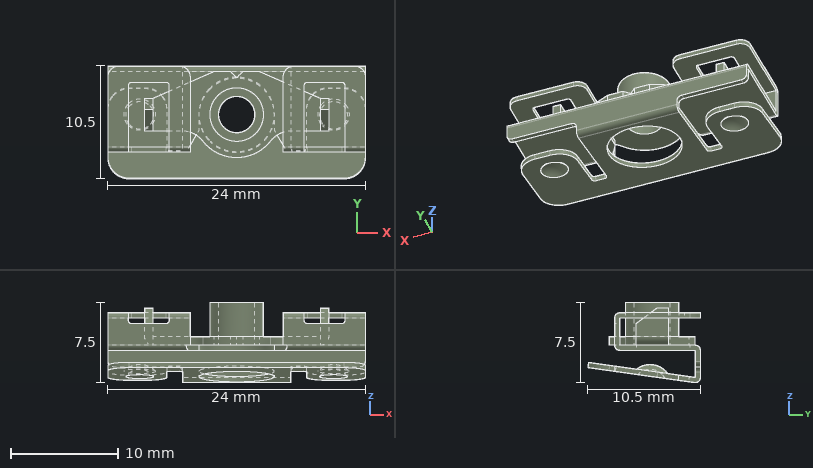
import cadquery as cq
import math


LENGTH = 24.0
SHEET = 0.5
BACK_Y = 4.5
FRONT_WALL_Y = BACK_Y - 8.02
DECK_TOP = 3.5
STRAP_TOP = 6.53
STRAP_WIDTH = 7.68
STRAP_CORNER = 1.0

LUG_CENTRE = 8.18
WINDOW_WIDTH = 3.8
WINDOW_BACK_Y = BACK_Y - 1.5
WINDOW_BOTTOM = 5.52
WINDOW_CORNER = 0.3

OPENING_HALF_WIDTH = 3.5
OPENING_MOUTH = 4.7
OPENING_FLARE_DEPTH = 2.05

WALL_BOTTOM = 1.5
WALL_CORNER = 0.5

LEAF_ANGLE = 8.0
LEAF_LENGTH = 10.03
LEAF_CORNER = 2.0
LEAF_HOLE_RADIUS = OPENING_HALF_WIDTH
TONGUE_HALF_WIDTH = 5.05
WING_INNER_X = 6.5
WING_BACK = 1.54
SLOT_END = 7.45
SLOT_CORNER = 0.3

LEAF_AXIS = (BACK_Y - SHEET) / math.cos(math.radians(LEAF_ANGLE))

DIMPLE_X = 9.02
DIMPLE_RADIUS = 2.05
DIMPLE_WALL = 0.45
DIMPLE_RISE = 0.62

NUT_PLATE = 0.8
BARREL_RADIUS = 2.5
BORE_RADIUS = 1.68
BARREL_TOP = 7.5
NUT_NOSE_RADIUS = 4.0
NUT_NECK_RADIUS = 2.5
NUT_BACK_Y = BACK_Y - SHEET
NUT_BACK_HALF = 2.1
NOTCH_DEPTH = 0.58
LUG_HALF_WIDTH = 1.5
LUG_OUTER_X = LUG_CENTRE + NUT_PLATE / 2
LUG_INNER_X = LUG_CENTRE - NUT_PLATE / 2
LUG_TOP = 6.95
LUG_TOP_DEPTH = 1.05
LUG_SHOULDER = 5.5

SIDES = (-1, 1)


def block(x0, x1, y0, y1, z0, z1):
    """Box between the given limits on each axis."""
    return cq.Workplane("XY").box(x1 - x0, y1 - y0, z1 - z0, centered=False).translate((x0, y0, z0))


def make_folded_strip():
    """Back wall above the leaf, deck, and the two front walls with their straps folded back."""
    inner_back_y = BACK_Y - SHEET
    inner_front_y = FRONT_WALL_Y + SHEET
    strip = (
        cq.Workplane("YZ", origin=(-LENGTH / 2, 0, 0))
        .moveTo(BACK_Y, WALL_BOTTOM)
        .lineTo(BACK_Y, DECK_TOP)
        .lineTo(inner_front_y, DECK_TOP)
        .lineTo(inner_front_y, STRAP_TOP - SHEET)
        .lineTo(BACK_Y, STRAP_TOP - SHEET)
        .lineTo(BACK_Y, STRAP_TOP)
        .lineTo(FRONT_WALL_Y, STRAP_TOP)
        .lineTo(FRONT_WALL_Y, DECK_TOP - SHEET)
        .lineTo(inner_back_y, DECK_TOP - SHEET)
        .lineTo(inner_back_y, WALL_BOTTOM)
        .close()
        .extrude(LENGTH)
    )
    for y, z in ((BACK_Y, DECK_TOP), (FRONT_WALL_Y, DECK_TOP - SHEET), (FRONT_WALL_Y, STRAP_TOP)):
        strip = strip.edges(cq.selectors.NearestToPointSelector((0, y, z))).fillet(SHEET)
    strip = strip.edges("|Y and <Z").fillet(WALL_CORNER)

    gap_half = LENGTH / 2 - STRAP_WIDTH
    strip = strip.cut(block(-gap_half, gap_half, -LENGTH, LENGTH, DECK_TOP, LENGTH))
    for side in SIDES:
        for x in (gap_half, LENGTH / 2):
            corner = (side * x, BACK_Y, STRAP_TOP - SHEET / 2)
            strip = strip.edges(cq.selectors.NearestToPointSelector(corner)).fillet(STRAP_CORNER)
        strip = strip.cut(make_window(side))
    return strip.cut(make_opening())


def make_opening():
    """Cutter for the deck opening: round end around the bore axis, straight sides, flared mouth."""
    flare_y = FRONT_WALL_Y + OPENING_FLARE_DEPTH
    return (
        cq.Workplane("XY", origin=(0, 0, DECK_TOP - SHEET))
        .moveTo(-OPENING_MOUTH, FRONT_WALL_Y)
        .lineTo(-OPENING_HALF_WIDTH, flare_y)
        .lineTo(-OPENING_HALF_WIDTH, 0)
        .threePointArc((0, OPENING_HALF_WIDTH), (OPENING_HALF_WIDTH, 0))
        .lineTo(OPENING_HALF_WIDTH, flare_y)
        .lineTo(OPENING_MOUTH, FRONT_WALL_Y)
        .close()
        .extrude(SHEET)
    )


def make_window(side):
    """Cutter for the window in one strap, continuing down into its front wall."""
    x0 = side * LUG_CENTRE - WINDOW_WIDTH / 2
    x1 = side * LUG_CENTRE + WINDOW_WIDTH / 2
    inner_front_y = FRONT_WALL_Y + SHEET
    in_top = block(x0, x1, FRONT_WALL_Y, WINDOW_BACK_Y, STRAP_TOP - SHEET, STRAP_TOP)
    in_wall = block(x0, x1, FRONT_WALL_Y, inner_front_y, WINDOW_BOTTOM, STRAP_TOP)
    in_top = in_top.edges("|Z and >Y").fillet(WINDOW_CORNER)
    in_wall = in_wall.edges("|Y and <Z").fillet(WINDOW_CORNER)
    return in_top.union(in_wall)


def make_tongue_bend():
    """Lower middle of the back wall and the bend that joins it to the leaf."""
    inner_y = BACK_Y - SHEET
    wall = block(-TONGUE_HALF_WIDTH, TONGUE_HALF_WIDTH, inner_y, BACK_Y, SHEET, WALL_BOTTOM)
    bend = (
        cq.Workplane("YZ", origin=(-TONGUE_HALF_WIDTH, inner_y, SHEET))
        .circle(SHEET)
        .extrude(2 * TONGUE_HALF_WIDTH)
    )
    above_bend = block(-LENGTH, LENGTH, -LENGTH, LENGTH, SHEET, LENGTH)
    return wall.union(bend.cut(above_bend))


def leaf_piece(side, x_near, x_far, start, end):
    """Flat piece of leaf on one side, between two distances from the bend."""
    x0, x1 = sorted((side * x_near, side * x_far))
    return block(x0, x1, -end, -start, -SHEET, 0)


def add_dimple(leaf, side):
    """Press a hollow spherical dome upward into one wing of the flat leaf."""
    centre = (side * DIMPLE_X, -LEAF_AXIS, DIMPLE_RISE - DIMPLE_RADIUS)
    dome = cq.Workplane("XY").sphere(DIMPLE_RADIUS).translate(centre)
    hollow = cq.Workplane("XY").sphere(DIMPLE_RADIUS - DIMPLE_WALL).translate(centre)
    below_leaf = block(-LENGTH, LENGTH, -LENGTH, LENGTH, -LENGTH, -SHEET)
    return leaf.union(dome.cut(below_leaf)).cut(hollow)


def make_leaf():
    """Leaf modelled flat with its top at Z = 0 and the bend along X, then tilted into place."""
    leaf = block(-TONGUE_HALF_WIDTH, TONGUE_HALF_WIDTH, -LEAF_LENGTH, 0, -SHEET, 0)
    for side in SIDES:
        wing = leaf_piece(side, 0, LENGTH / 2, WING_BACK, LEAF_LENGTH)
        wing = wing.edges("|Z").edges(">X" if side > 0 else "<X").fillet(LEAF_CORNER)
        leaf = leaf.union(wing)
    for side in SIDES:
        slot = leaf_piece(side, TONGUE_HALF_WIDTH, WING_INNER_X, 0, SLOT_END)
        leaf = leaf.cut(slot.edges("|Z and <Y").fillet(SLOT_CORNER))
        inner_corner = cq.selectors.NearestToPointSelector((side * WING_INNER_X, -WING_BACK, -SHEET / 2))
        leaf = leaf.edges(inner_corner).fillet(LEAF_CORNER)
        leaf = add_dimple(leaf, side)
    hole = cq.Workplane("XY", origin=(0, -LEAF_AXIS, -SHEET)).circle(LEAF_HOLE_RADIUS).extrude(SHEET)
    leaf = leaf.cut(hole)
    return leaf.rotate((0, 0, 0), (1, 0, 0), -LEAF_ANGLE).translate((0, BACK_Y - SHEET, SHEET))


def make_clip():
    """Sheet-metal clip as one solid."""
    clip = make_folded_strip().union(make_tongue_bend())
    for side in SIDES:
        inner_corner = (side * TONGUE_HALF_WIDTH, BACK_Y - SHEET / 2, WALL_BOTTOM)
        clip = clip.edges(cq.selectors.NearestToPointSelector(inner_corner)).fillet(WALL_CORNER)
    return clip.union(make_leaf())


def make_nut_plate():
    """Flat outline of the nut: round nose, concave necks, two arms and a notched back edge."""
    neck_y = -LUG_HALF_WIDTH - NUT_NECK_RADIUS
    centre_distance = NUT_NOSE_RADIUS + NUT_NECK_RADIUS
    neck_x = math.sqrt(centre_distance**2 - neck_y**2)
    join_x = neck_x * NUT_NOSE_RADIUS / centre_distance
    join_y = neck_y * NUT_NOSE_RADIUS / centre_distance
    mid_angle = (math.pi / 2 + math.atan2(-neck_y, -neck_x)) / 2
    mid_x = neck_x + NUT_NECK_RADIUS * math.cos(mid_angle)
    mid_y = neck_y + NUT_NECK_RADIUS * math.sin(mid_angle)

    return (
        cq.Workplane("XY", origin=(0, 0, DECK_TOP))
        .moveTo(-LUG_OUTER_X, LUG_HALF_WIDTH)
        .lineTo(-LUG_OUTER_X, -LUG_HALF_WIDTH)
        .lineTo(-neck_x, -LUG_HALF_WIDTH)
        .threePointArc((-mid_x, mid_y), (-join_x, join_y))
        .threePointArc((0, -NUT_NOSE_RADIUS), (join_x, join_y))
        .threePointArc((mid_x, mid_y), (neck_x, -LUG_HALF_WIDTH))
        .lineTo(LUG_OUTER_X, -LUG_HALF_WIDTH)
        .lineTo(LUG_OUTER_X, LUG_HALF_WIDTH)
        .lineTo(LUG_INNER_X, LUG_HALF_WIDTH)
        .lineTo(NUT_BACK_HALF, NUT_BACK_Y)
        .lineTo(NOTCH_DEPTH, NUT_BACK_Y)
        .lineTo(0, NUT_BACK_Y - NOTCH_DEPTH)
        .lineTo(-NOTCH_DEPTH, NUT_BACK_Y)
        .lineTo(-NUT_BACK_HALF, NUT_BACK_Y)
        .lineTo(-LUG_INNER_X, LUG_HALF_WIDTH)
        .close()
        .extrude(NUT_PLATE)
    )


def make_lug(side):
    """Upright lug at the end of one arm, with a sloping front."""
    plate_top = DECK_TOP + NUT_PLATE
    return (
        cq.Workplane("YZ", origin=(side * LUG_CENTRE - NUT_PLATE / 2, 0, 0))
        .moveTo(LUG_HALF_WIDTH, plate_top)
        .lineTo(LUG_HALF_WIDTH, LUG_TOP)
        .lineTo(LUG_HALF_WIDTH - LUG_TOP_DEPTH, LUG_TOP)
        .lineTo(-LUG_HALF_WIDTH, LUG_SHOULDER)
        .lineTo(-LUG_HALF_WIDTH, plate_top)
        .close()
        .extrude(NUT_PLATE)
    )


def make_nut():
    """Nut as one solid: plate, lugs and bored barrel."""
    nut = make_nut_plate()
    for side in SIDES:
        nut = nut.union(make_lug(side))
    nut = nut.edges("|Y and <Z").edges("<X or >X").fillet(NUT_PLATE)
    barrel_height = BARREL_TOP - DECK_TOP
    base = cq.Workplane("XY", origin=(0, 0, DECK_TOP))
    nut = nut.union(base.circle(BARREL_RADIUS).extrude(barrel_height))
    return nut.cut(base.circle(BORE_RADIUS).extrude(barrel_height))


clip = make_clip()
nut = make_nut()
result = cq.Compound.makeCompound([clip.val(), nut.val()])